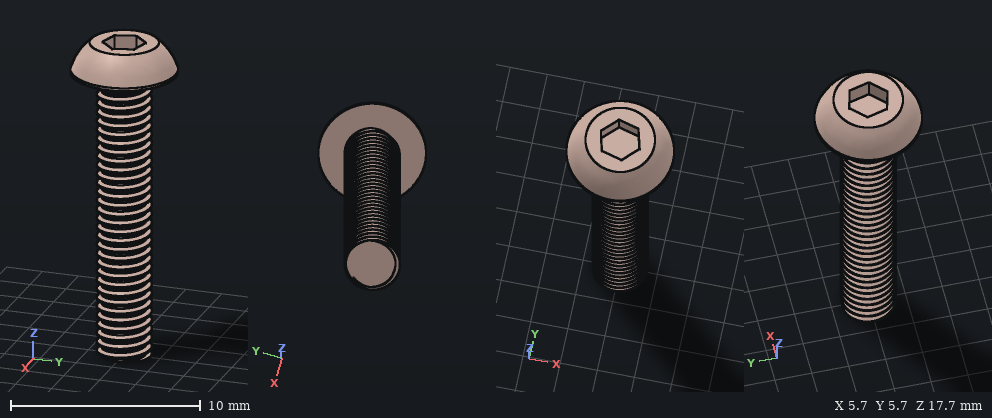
import cadquery as cq
import math

total_length = 17.65
head_diameter = 5.7
head_height = 1.66
shank_length = total_length - head_height

rim_height = 0.16
top_flat_diameter = 3.67
dome_mid_radius = 2.44
dome_mid_height = 1.0

socket_across_flats = 2.0
socket_depth = 1.05
socket_corner_angle = 45.0

pitch = 0.5
major_radius = 2.93 / 2
root_radius = 2.38 / 2
crest_width = pitch / 8
flank_angle = 30.0
crest_height_at_x_axis = 0.32
embed_depth = 0.05


def make_head():
    """Domed head, revolved about the screw axis, with the hexagonal socket cut in."""
    rim_top = (head_diameter / 2, shank_length + rim_height)
    dome_mid = (dome_mid_radius, shank_length + dome_mid_height)
    dome_top = (top_flat_diameter / 2, total_length)
    head = (
        cq.Workplane("XZ")
        .moveTo(0, shank_length)
        .lineTo(head_diameter / 2, shank_length)
        .lineTo(*rim_top)
        .threePointArc(dome_mid, dome_top)
        .lineTo(0, total_length)
        .close()
        .revolve(360, (0, 0), (0, 1))
    )
    across_corners = socket_across_flats / math.cos(math.radians(30))
    socket = (
        cq.Workplane("XY", origin=(0, 0, total_length))
        .transformed(rotate=(0, 0, socket_corner_angle))
        .polygon(6, across_corners)
        .extrude(-socket_depth)
    )
    return head.cut(socket)


def make_thread_ridge():
    """Trapezoidal ridge swept up a helix and trimmed flush with the free end of the shank."""
    start_height = crest_height_at_x_axis - 2 * pitch
    turns = math.ceil((shank_length - start_height) / pitch + 0.5)
    inner_radius = root_radius - embed_depth
    half_crest = crest_width / 2
    half_base = half_crest + (major_radius - inner_radius) * math.tan(math.radians(flank_angle))
    path = cq.Wire.makeHelix(pitch, turns * pitch, root_radius)
    ridge = (
        cq.Workplane("XZ")
        .moveTo(inner_radius, -half_base)
        .lineTo(major_radius, -half_crest)
        .lineTo(major_radius, half_crest)
        .lineTo(inner_radius, half_base)
        .close()
        .sweep(cq.Workplane(obj=path), isFrenet=True)
        .translate((0, 0, start_height))
    )
    envelope = cq.Workplane("XY").circle(2 * major_radius).extrude(total_length - socket_depth)
    return ridge.intersect(envelope)


core = cq.Workplane("XY").circle(root_radius).extrude(shank_length)
result = core.union(make_thread_ridge()).union(make_head())